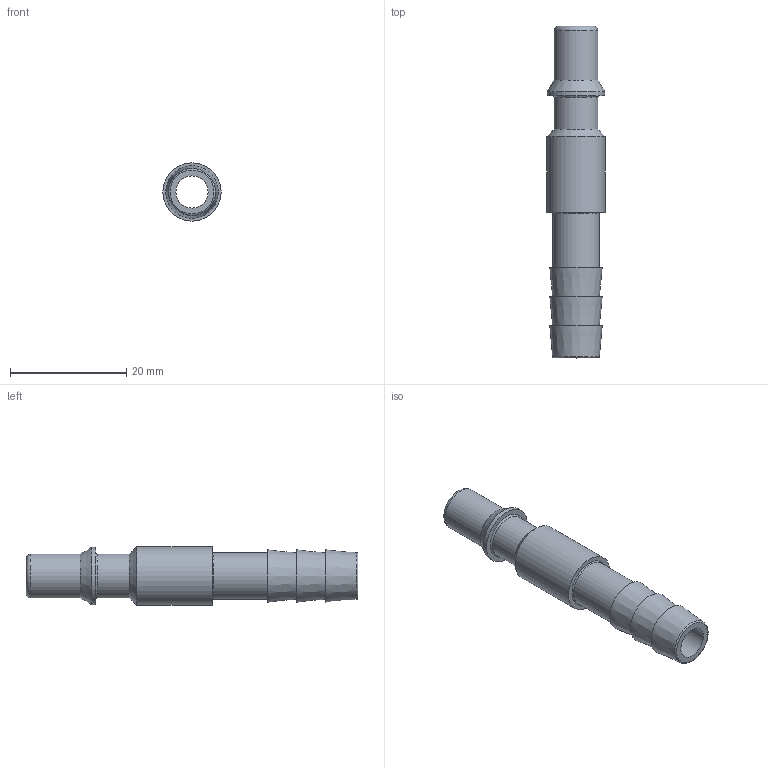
import cadquery as cq

total_length = 57.0
bore_radius = 2.75

tail_radius = 4.0
barb_radius = 4.5
barb_pitch = 5.0
barb_count = 3
first_barb_length = 5.5
tail_end_rounding = 0.25

collar_radius = 5.0
collar_start = 25.0
collar_length = 13.0
collar_root_fillet = 0.2

plug_radius = 3.75
plug_end_rounding = 0.75
flange_radius = 4.95
flange_start = 45.0
flange_rim_width = 0.75
flange_cone_length = 1.95
flange_root_fillet = 0.3


def turned(profile_points):
    """Revolve a closed (radius, y) outline about the Y axis."""
    return cq.Workplane("XY").polyline(profile_points).close().revolve(360, (0, 0, 0), (0, 1, 0))


def cylinder(radius, start, end):
    return turned([(0, start), (radius, start), (radius, end), (0, end)])


def root_fillet(radius, face_y, size):
    """Concave ring in the corner between a shaft and the -Y face of a shoulder."""
    corner_y = face_y - size
    return (
        cq.Workplane("XY")
        .moveTo(0, face_y)
        .lineTo(radius + size, face_y)
        .radiusArc((radius, corner_y), -size)
        .lineTo(0, corner_y)
        .close()
        .revolve(360, (0, 0, 0), (0, 1, 0))
    )


def hose_tail():
    """Plain tail carrying barbs that taper down toward the hose end."""
    first_barb = turned(
        [(0, 0), (tail_radius, 0), (barb_radius, first_barb_length), (0, first_barb_length)]
    )
    tail = first_barb.faces("<Y").edges().fillet(tail_end_rounding)
    for index in range(1, barb_count):
        barb_end = first_barb_length + index * barb_pitch
        barb_start = barb_end - barb_pitch
        tail = tail.union(
            turned([(0, barb_start), (tail_radius, barb_start), (barb_radius, barb_end), (0, barb_end)])
        )
    last_barb_end = first_barb_length + (barb_count - 1) * barb_pitch
    tail = tail.union(cylinder(tail_radius, last_barb_end, collar_start))
    return tail.union(root_fillet(tail_radius, collar_start, collar_root_fillet))


def collar():
    """Thick middle section with a 45 degree shoulder down to the plug."""
    shoulder_start = collar_start + collar_length
    shoulder_end = shoulder_start + collar_radius - plug_radius
    return turned(
        [
            (0, collar_start),
            (collar_radius, collar_start),
            (collar_radius, shoulder_start),
            (plug_radius, shoulder_end),
            (0, shoulder_end),
        ]
    )


def plug():
    """Smooth plug with a rounded tip."""
    body = cylinder(plug_radius, collar_start + collar_length, total_length)
    return body.faces(">Y").edges().fillet(plug_end_rounding)


def snap_flange():
    """Ring with a square back face and a lead-in cone toward the plug tip."""
    rim_end = flange_start + flange_rim_width
    cone_end = rim_end + flange_cone_length
    ring = turned(
        [
            (0, flange_start),
            (flange_radius, flange_start),
            (flange_radius, rim_end),
            (plug_radius, cone_end),
            (0, cone_end),
        ]
    )
    return ring.union(root_fillet(plug_radius, flange_start, flange_root_fillet))


outer_body = hose_tail().union(collar()).union(plug()).union(snap_flange())
result = outer_body.cut(cylinder(bore_radius, 0, total_length))